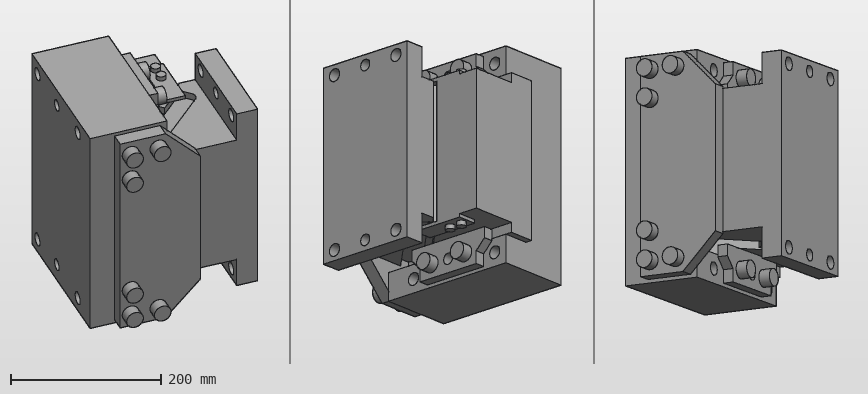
import cadquery as cq


HEIGHT = 310.0
BASE_WIDTH = 210.0
BASE_DEPTH = 110.0
SLOT_DEPTH = 40.0
SLOT_WIDTH = 228.2
SLOT_FLOOR_Y = BASE_DEPTH - SLOT_DEPTH

MOUNT_HOLE_DIAMETER = 18.0
MOUNT_HOLE_INSET = 20.0
MOUNT_HOLE_SPACING = 145.0
DOWEL_DIAMETER = 16.0
DOWEL_INSET = 25.0
DOWEL_Z = HEIGHT / 2 - DOWEL_INSET

PLATE_EDGE_Z = 150.0
KEEPER_INNER_Z = 101.0
KEEPER_THICKNESS = 15.0
KEEPER_LENGTH = 130.0
KEEPER_CENTER_X = 90.0
KEEPER_CHAMFER = 15.0
KEEPER_SHOULDER_Z = 117.0

BOLT_DIAMETER = 24.0
BOLT_INSET = 24.8
BOLT_ROW_Z = HEIGHT / 2 - BOLT_INSET
KEEPER_BOLT_SPACING = 60.0
BOLT_HEIGHT = 16.0
BACKING_BOLT_SPACING = 39.7
BACKING_BOLT_LOW_Y = 50.0

BACKING_THICKNESS = 20.0
BACKING_LOW_Y = 35.0
BACKING_HIGH_Y = 150.0
BACKING_CHAMFER = 50.0

RAMP_SUM = 241.0
SLIDE_OVERHANG = 10.0
SLIDE_TOP_Y = 180.0
SLIDE_HEIGHT = 200.0

PAD_THICKNESS = 13.3
PAD_SUM = RAMP_SUM + PAD_THICKNESS
PAD_STEP_DIFFERENCE = -42.0

STRIP_X = 20.0
STRIP_LENGTH = 79.5
STRIP_WIDTH = 30.0
STRIP_THICKNESS = 5.0
SCREW_DIAMETER = 13.3
SCREW_HEIGHT = 6.5
SCREW_FIRST_X = 30.5
SCREW_SPACING = 19.8

CARRIAGE_TOP_Y = 240.0
CARRIAGE_LEFT_X = 60.0
CARRIAGE_HEIGHT = 195.0
FLANGE_HEIGHT = 280.2
FLANGE_THICKNESS = 30.0
NOSE_CLEARANCE = 6.2
NOSE_SUM = RAMP_SUM + NOSE_CLEARANCE
FLANGE_HOLE_SPACING = 55.0
FLANGE_HOLE_Z = 125.0

RECESS_DEPTH = 10.0
RECESS_FAR_SUM = 295.7
RECESS_END_DIFFERENCE = -105.0
RECESS_CORNER_RADIUS = 10.0
RECESS_FLOOR_HEIGHT = CARRIAGE_HEIGHT - 2 * RECESS_DEPTH


def box(x0, x1, y0, y1, z0, z1):
    """Box between two opposite corners."""
    return cq.Workplane("XY").box(x1 - x0, y1 - y0, z1 - z0, centered=False).translate((x0, y0, z0))


def prism(points, height):
    """Outline in X and Y extruded to both sides of Z = 0."""
    return cq.Workplane("XY").polyline(points).close().extrude(height / 2, both=True)


def y_cylinder(x, z, diameter, y0, y1):
    """Cylinder along Y."""
    return cq.Workplane("XZ", origin=(x, y0, z)).circle(diameter / 2).extrude(y0 - y1)


def ramp_point(line_sum, difference):
    """Point where X + Y = line_sum meets X - Y = difference."""
    return ((line_sum + difference) / 2, (line_sum - difference) / 2)


def both_ends(shape):
    """The shape and its mirror image in Z = 0."""
    return shape.union(shape.mirror("XY"))


def keeper():
    """Stepped keeper at the +Z end, with two bolt heads."""
    half = KEEPER_LENGTH / 2
    neck = half - KEEPER_CHAMFER
    chamfer_top_z = KEEPER_SHOULDER_Z + KEEPER_CHAMFER
    right_side = [
        (half, KEEPER_INNER_Z),
        (half, KEEPER_SHOULDER_Z),
        (neck, chamfer_top_z),
        (neck, PLATE_EDGE_Z),
    ]
    left_side = [(-x, z) for x, z in reversed(right_side)]
    plane = cq.Workplane("XZ", origin=(KEEPER_CENTER_X, BASE_DEPTH, 0))
    part = plane.polyline(right_side + left_side).close().extrude(-KEEPER_THICKNESS)
    bolt_y = BASE_DEPTH + KEEPER_THICKNESS
    for side in (-1, 1):
        bolt_x = KEEPER_CENTER_X + side * KEEPER_BOLT_SPACING / 2
        part = part.union(
            y_cylinder(bolt_x, BOLT_ROW_Z, BOLT_DIAMETER, bolt_y, bolt_y + BOLT_HEIGHT)
        )
    return part


def backing_plate():
    """Bevelled plate on the +X face of the base, with three bolt heads at each end."""
    bevel_y = BACKING_HIGH_Y - BACKING_CHAMFER
    bevel_z = PLATE_EDGE_Z - BACKING_CHAMFER
    outline = [
        (BACKING_LOW_Y, -PLATE_EDGE_Z),
        (bevel_y, -PLATE_EDGE_Z),
        (BACKING_HIGH_Y, -bevel_z),
        (BACKING_HIGH_Y, bevel_z),
        (bevel_y, PLATE_EDGE_Z),
        (BACKING_LOW_Y, PLATE_EDGE_Z),
    ]
    part = cq.Workplane("YZ", origin=(BASE_WIDTH, 0, 0)).polyline(outline).close()
    part = part.extrude(BACKING_THICKNESS)
    high_y = BACKING_BOLT_LOW_Y + BACKING_BOLT_SPACING
    low_z = BOLT_ROW_Z - BACKING_BOLT_SPACING
    bolts = (
        cq.Workplane("YZ", origin=(BASE_WIDTH + BACKING_THICKNESS, 0, 0))
        .pushPoints([(BACKING_BOLT_LOW_Y, BOLT_ROW_Z), (high_y, BOLT_ROW_Z), (BACKING_BOLT_LOW_Y, low_z)])
        .circle(BOLT_DIAMETER / 2)
        .extrude(BOLT_HEIGHT)
    )
    return part.union(both_ends(bolts))


def make_base():
    """Block with an open slot, keepers, backing plate and mounting holes."""
    block = box(0, BASE_WIDTH, 0, BASE_DEPTH, -HEIGHT / 2, HEIGHT / 2)
    slot = box(0, BASE_WIDTH, SLOT_FLOOR_Y, BASE_DEPTH, -SLOT_WIDTH / 2, SLOT_WIDTH / 2)
    base = block.cut(slot).union(both_ends(keeper())).union(backing_plate())
    keeper_back_y = BASE_DEPTH + KEEPER_THICKNESS
    mount_z = HEIGHT / 2 - MOUNT_HOLE_INSET
    for x in (MOUNT_HOLE_INSET, MOUNT_HOLE_INSET + MOUNT_HOLE_SPACING):
        base = base.cut(both_ends(y_cylinder(x, mount_z, MOUNT_HOLE_DIAMETER, 0, BASE_DEPTH)))
    return base.cut(both_ends(y_cylinder(KEEPER_CENTER_X, DOWEL_Z, DOWEL_DIAMETER, 0, keeper_back_y)))


def ramp_prism(bottom_y, top_y, height):
    """Part of the slide between two Y levels, ending on the ramp."""
    outline = [
        (-SLIDE_OVERHANG, bottom_y),
        (RAMP_SUM - bottom_y, bottom_y),
        (RAMP_SUM - top_y, top_y),
        (-SLIDE_OVERHANG, top_y),
    ]
    return prism(outline, height)


def ramp_pad():
    """Pad on the ramp: full length near the nose, shorter below the step."""
    step = [ramp_point(s, PAD_STEP_DIFFERENCE) for s in (RAMP_SUM, PAD_SUM)]
    start = [ramp_point(s, RECESS_END_DIFFERENCE) for s in (PAD_SUM, RAMP_SUM)]
    foot = [(PAD_SUM - SLOT_FLOOR_Y, SLOT_FLOOR_Y), (RAMP_SUM - SLOT_FLOOR_Y, SLOT_FLOOR_Y)]
    upper = prism(step + start, CARRIAGE_HEIGHT)
    lower = prism(step + foot, RECESS_FLOOR_HEIGHT)
    return upper.union(lower)


def strip():
    """Strip with two screw heads on the +Z end of the slide."""
    inner_z = SLIDE_HEIGHT / 2
    outer_z = inner_z + STRIP_THICKNESS
    part = box(STRIP_X, STRIP_X + STRIP_LENGTH, SLIDE_TOP_Y - STRIP_WIDTH, SLIDE_TOP_Y, inner_z, outer_z)
    screw_y = SLIDE_TOP_Y - STRIP_WIDTH / 2
    screws = (
        cq.Workplane("XY", origin=(0, 0, outer_z))
        .pushPoints([(SCREW_FIRST_X, screw_y), (SCREW_FIRST_X + SCREW_SPACING, screw_y)])
        .circle(SCREW_DIAMETER / 2)
        .extrude(SCREW_HEIGHT)
    )
    return part.union(screws)


def make_slide():
    """Wedge with a wide foot in the base slot."""
    foot = ramp_prism(SLOT_FLOOR_Y, BASE_DEPTH, SLOT_WIDTH)
    wedge = ramp_prism(BASE_DEPTH, SLIDE_TOP_Y, SLIDE_HEIGHT)
    return foot.union(wedge).union(ramp_pad()).union(both_ends(strip()))


def end_recess():
    """Cutter for the angled recess in the +Z end of the carriage."""
    far_x = BASE_WIDTH + BACKING_THICKNESS
    corner = ramp_point(RECESS_FAR_SUM, RECESS_END_DIFFERENCE)
    outline = [
        ramp_point(RAMP_SUM, RECESS_END_DIFFERENCE),
        corner,
        (far_x, RECESS_FAR_SUM - far_x),
        (far_x, RAMP_SUM - far_x),
    ]
    cutter = cq.Workplane("XY", origin=(0, 0, RECESS_FLOOR_HEIGHT / 2)).polyline(outline).close()
    cutter = cutter.extrude(RECESS_DEPTH)
    rounded_edge = cq.selectors.NearestToPointSelector((*corner, CARRIAGE_HEIGHT / 2 - RECESS_DEPTH / 2))
    return cutter.edges("|Z").edges(rounded_edge).fillet(RECESS_CORNER_RADIUS)


def make_carriage():
    """Flanged wedge that bears on the pad of the slide."""
    flange_y = CARRIAGE_TOP_Y - FLANGE_THICKNESS
    outline = [
        (CARRIAGE_LEFT_X, CARRIAGE_TOP_Y),
        (CARRIAGE_LEFT_X, NOSE_SUM - CARRIAGE_LEFT_X),
        ramp_point(NOSE_SUM, RECESS_END_DIFFERENCE),
        ramp_point(PAD_SUM, RECESS_END_DIFFERENCE),
        (PAD_SUM - SLOT_FLOOR_Y, SLOT_FLOOR_Y),
        (BASE_WIDTH, SLOT_FLOOR_Y),
        (BASE_WIDTH, CARRIAGE_TOP_Y),
    ]
    half_flange = FLANGE_HEIGHT / 2
    flange = box(CARRIAGE_LEFT_X, BASE_WIDTH, flange_y, CARRIAGE_TOP_Y, -half_flange, half_flange)
    carriage = prism(outline, CARRIAGE_HEIGHT).cut(both_ends(end_recess())).union(flange)
    center_x = (CARRIAGE_LEFT_X + BASE_WIDTH) / 2
    for step, diameter in ((-1, MOUNT_HOLE_DIAMETER), (0, DOWEL_DIAMETER), (1, MOUNT_HOLE_DIAMETER)):
        x = center_x + step * FLANGE_HOLE_SPACING
        hole = y_cylinder(x, FLANGE_HOLE_Z, diameter, flange_y, CARRIAGE_TOP_Y)
        carriage = carriage.cut(both_ends(hole))
    return carriage


base = make_base()
slide = make_slide()
carriage = make_carriage()

result = cq.Compound.makeCompound([base.val(), slide.val(), carriage.val()])